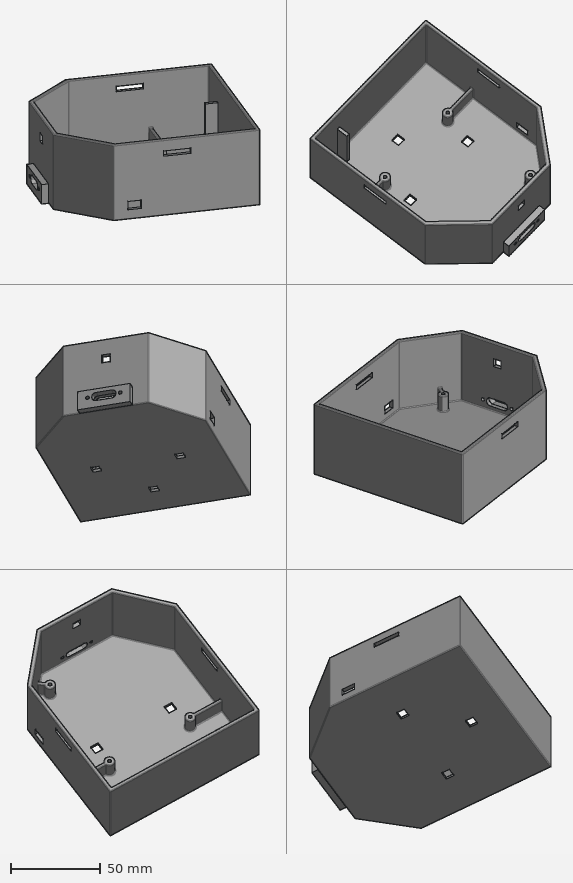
import cadquery as cq
import math

WIDTH = 100.0
DEPTH = 113.5
HEIGHT = 46.0
FRONT_WIDTH = 50.0
CORNER_DEPTH = 28.3
FLOOR = 1.8
SIDE_WALL = 2.2
FRONT_WALL = 2.6
EDGE_RADIUS = 0.5

BOSS_RADIUS = 3.0
BOSS_HEIGHT = 10.2
BOSS_HOLE_RADIUS = 1.0
BOSS_X = 27.0
REAR_BOSS_Y = 77.5
FRONT_BOSS_Y = 16.5
RIB_THICKNESS = 2.0

SQUARE_SIZE = 5.0
SIDE_OPENING_X = 24.7
SIDE_OPENING_Y = 60.9
REAR_OPENING_Y = 91.1
FRONT_OPENING_Z = 33.4

SLOT_LENGTH = 16.0
SLOT_HEIGHT = 3.2
SLOT_Y = 65.3
SLOT_Z = 37.6

SOCKET_LENGTH = 8.0
SOCKET_HEIGHT = 5.0
SOCKET_Y = 40.4
SOCKET_Z = 8.3

BLOCK_WIDTH = 30.9
BLOCK_HEIGHT = 11.9
BLOCK_THICKNESS = 4.0
CONNECTOR_WIDTH = 14.2
CONNECTOR_HEIGHT = 5.2
CONNECTOR_Z = 6.9
SCREW_SPACING = 19.3
SCREW_HOLE_RADIUS = 1.0

TAB_X = -28.4
TAB_THICKNESS = 2.0
TAB_LENGTH = 7.2
TAB_TOP = 31.5
TAB_WALL_GAP = 0.5

HALF_WIDTH = WIDTH / 2
HALF_FRONT = FRONT_WIDTH / 2
CORNER_RUN = HALF_WIDTH - HALF_FRONT
CORNER_LENGTH = math.hypot(CORNER_RUN, CORNER_DEPTH)
BOSS_TOP = FLOOR + BOSS_HEIGHT
BOSSES = [(-BOSS_X, REAR_BOSS_Y), (BOSS_X, REAR_BOSS_Y), (BOSS_X, FRONT_BOSS_Y)]
FLOOR_OPENINGS = [
    (0, REAR_OPENING_Y),
    (-SIDE_OPENING_X, SIDE_OPENING_Y),
    (SIDE_OPENING_X, SIDE_OPENING_Y),
]


def tray_outline(half_front, front_y, half_width, corner_y, rear_y):
    """Closed outline, symmetric about X = 0, with two angled front corners."""
    return cq.Workplane("XY").polyline([
        (-half_front, front_y),
        (half_front, front_y),
        (half_width, corner_y),
        (half_width, rear_y),
        (-half_width, rear_y),
        (-half_width, corner_y),
    ]).close()


def make_tray():
    outer = tray_outline(HALF_FRONT, 0, HALF_WIDTH, CORNER_DEPTH, DEPTH).extrude(HEIGHT)

    slope = CORNER_DEPTH / CORNER_RUN
    corner_shift = FRONT_WALL * CORNER_LENGTH / CORNER_DEPTH
    inner_half_front = HALF_FRONT - corner_shift + FRONT_WALL / slope
    inner_half_width = HALF_WIDTH - SIDE_WALL
    inner_corner_y = FRONT_WALL + (inner_half_width - inner_half_front) * slope
    cavity = tray_outline(
        inner_half_front, FRONT_WALL, inner_half_width, inner_corner_y, DEPTH - SIDE_WALL
    ).extrude(HEIGHT - FLOOR)
    return outer.cut(cavity.translate((0, 0, FLOOR)))


def make_rib(x, y, angle, reach):
    """Rib from a boss centre, running `reach` in the direction `angle` (degrees)."""
    return (
        cq.Workplane("XY")
        .rect(reach, RIB_THICKNESS)
        .extrude(BOSS_TOP)
        .translate((reach / 2, 0, 0))
        .rotate((0, 0, 0), (0, 0, 1), angle)
        .translate((x, y, 0))
    )


def make_ribs():
    """Ribs square to the walls they meet, each ending inside its wall."""
    side_reach = HALF_WIDTH - BOSS_X - SIDE_WALL / 2
    corner_angle = -math.degrees(math.atan2(CORNER_RUN, CORNER_DEPTH))
    corner_distance = (
        FRONT_BOSS_Y * CORNER_RUN - (BOSS_X - HALF_FRONT) * CORNER_DEPTH
    ) / CORNER_LENGTH
    return [
        make_rib(-BOSS_X, REAR_BOSS_Y, 180, side_reach),
        make_rib(BOSS_X, REAR_BOSS_Y, 0, side_reach),
        make_rib(BOSS_X, FRONT_BOSS_Y, corner_angle, corner_distance - FRONT_WALL / 2),
    ]


def connector_cutter():
    """Round-ended opening and two screw holes, through the block and the wall."""
    return (
        cq.Workplane("XZ", origin=(0, FRONT_WALL, CONNECTOR_Z))
        .slot2D(CONNECTOR_WIDTH, CONNECTOR_HEIGHT)
        .pushPoints([(-SCREW_SPACING / 2, 0), (SCREW_SPACING / 2, 0)])
        .circle(SCREW_HOLE_RADIUS)
        .extrude(BLOCK_THICKNESS + FRONT_WALL)
    )


def wall_opening_cutters():
    front = cq.Workplane("XY").box(SQUARE_SIZE, 2 * FRONT_WALL, SQUARE_SIZE)
    slots = cq.Workplane("XY").box(WIDTH, SLOT_LENGTH, SLOT_HEIGHT)
    socket = cq.Workplane("XY").box(2 * SIDE_WALL, SOCKET_LENGTH, SOCKET_HEIGHT)
    return [
        front.translate((0, FRONT_WALL / 2, FRONT_OPENING_Z)),
        slots.translate((0, SLOT_Y, SLOT_Z)),
        socket.translate((HALF_WIDTH - SIDE_WALL / 2, SOCKET_Y, SOCKET_Z)),
    ]


def make_tab():
    """The tab reaches down through the floor thickness so that the two are one piece."""
    rear_y = DEPTH - SIDE_WALL - TAB_WALL_GAP
    return cq.Workplane("XY").box(
        TAB_THICKNESS, TAB_LENGTH, TAB_TOP, centered=(True, False, False)
    ).translate((TAB_X, rear_y - TAB_LENGTH, 0))


def make_shell():
    shell = make_tray()
    shell = shell.union(cq.Workplane("XY").pushPoints(BOSSES).circle(BOSS_RADIUS).extrude(BOSS_TOP))
    for rib in make_ribs():
        shell = shell.union(rib)
    shell = shell.edges().fillet(EDGE_RADIUS)

    shell = shell.union(make_tab()).cut(connector_cutter())
    boss_holes = cq.Workplane("XY", origin=(0, 0, FLOOR)).pushPoints(BOSSES)
    shell = shell.cut(boss_holes.circle(BOSS_HOLE_RADIUS).extrude(BOSS_HEIGHT))
    floor_openings = cq.Workplane("XY").pushPoints(FLOOR_OPENINGS)
    shell = shell.cut(floor_openings.rect(SQUARE_SIZE, SQUARE_SIZE).extrude(FLOOR))
    for cutter in wall_opening_cutters():
        shell = shell.cut(cutter)
    return shell


def make_connector_block():
    block = cq.Workplane("XY").box(
        BLOCK_WIDTH, BLOCK_THICKNESS, BLOCK_HEIGHT, centered=(True, False, False)
    ).translate((0, -BLOCK_THICKNESS, 0))
    return block.cut(connector_cutter())


shell = make_shell()
connector_block = make_connector_block()
result = cq.Compound.makeCompound([*shell.solids().vals(), *connector_block.solids().vals()])